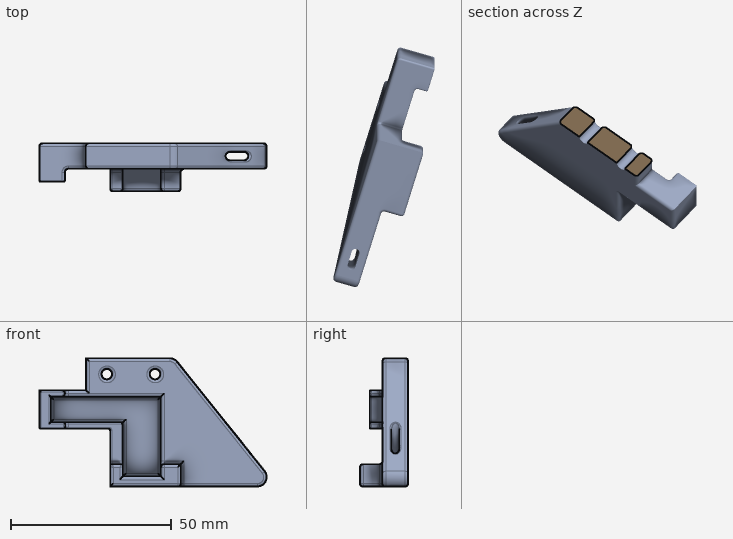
import cadquery as cq


plate_thickness = 8.0
plate_height = 40.0
plate_left_x = 14.5
slope_top_x = 42.0
slope_bottom_x = 74.0
slope_corner_radius = 3.0
arm_height = 12.0
arm_top_z = 30.0
arm_bottom_z = arm_top_z - arm_height
leg_left_x = 22.0

arm_foot_width = 8.0
arm_foot_depth = 12.0
leg_foot_width = 22.0
leg_foot_depth = 15.0
leg_foot_height = 7.0
leg_foot_right_x = leg_left_x + leg_foot_width

pocket_floor_depth = 3.0
pocket_left_x = 3.5
arm_wall = 2.0
leg_wall = 4.0
pocket_right_x = 37.85
pocket_bottom_z = 3.2
pocket_top_z = arm_top_z - arm_wall
pocket_ledge_z = arm_bottom_z + arm_wall
pocket_leg_left_x = leg_left_x + leg_wall

large_round = 1.0
small_round = 0.5
pocket_rim_round = large_round - 0.01

hole_diameter = 3.2
hole_rim_round = 1.0
hole_z = 35.0
first_hole_x = 21.0
hole_spacing = 15.0

slot_left_x = 58.0
slot_length = 7.0
slot_width = 2.5
slot_rim_round = 0.5

pick_margin = 0.05


def front_prism(outline, depth):
    """Extrude an (x, z) outline forward from the back plane."""
    return cq.Workplane("XZ").polyline(outline).close().extrude(depth)


def front_block(left, right, bottom, top, depth):
    """Rectangular block from the back plane forward to the given depth."""
    return front_prism([(left, bottom), (right, bottom), (right, top), (left, top)], depth)


def edges_within(x_range, depth_range, z_range):
    """Selector for edges wholly inside a box given as (low, high) pairs."""
    near_depth, far_depth = depth_range
    low = (x_range[0] - pick_margin, -far_depth - pick_margin, z_range[0] - pick_margin)
    high = (x_range[1] + pick_margin, -near_depth + pick_margin, z_range[1] + pick_margin)
    return cq.selectors.BoxSelector(low, high, boundingbox=True)


def at(value):
    """Range that holds a single value."""
    return (value, value)


whole_depth = (0, leg_foot_depth)
plate_front = at(plate_thickness)
arm_foot_front = at(arm_foot_depth)
leg_foot_front = at(leg_foot_depth)
arm_foot_side = at(arm_foot_width)
arm_foot_sides_depth = (plate_thickness, arm_foot_depth)
leg_foot_sides_depth = (plate_thickness, leg_foot_depth)
behind_arm_foot_front = (plate_thickness, arm_foot_depth - 2 * pick_margin)
above_leg_foot_front = leg_foot_height - small_round


def make_blank():
    """Plate, arm and leg in one outline, with both feet added."""
    outline = [
        (0, arm_bottom_z),
        (leg_left_x, arm_bottom_z),
        (leg_left_x, 0),
        (slope_bottom_x, 0),
        (slope_top_x, plate_height),
        (plate_left_x, plate_height),
        (plate_left_x, arm_top_z),
        (0, arm_top_z),
    ]
    arm_foot = front_block(0, arm_foot_width, arm_bottom_z, arm_top_z, arm_foot_depth)
    leg_foot = front_block(leg_left_x, leg_foot_right_x, 0, leg_foot_height, leg_foot_depth)
    return front_prism(outline, plate_thickness).union(arm_foot).union(leg_foot).clean()


def round_outline_corners(body):
    """Round the outline corners at the slope and under the arm."""
    slope_top = edges_within(at(slope_top_x), whole_depth, at(plate_height))
    slope_bottom = edges_within(at(slope_bottom_x), whole_depth, at(0))
    arm_tip = edges_within(at(0), whole_depth, at(arm_bottom_z))
    arm_to_leg = edges_within(at(leg_left_x), whole_depth, at(arm_bottom_z))
    body = body.edges(slope_top + slope_bottom).fillet(slope_corner_radius)
    return body.edges(arm_tip + arm_to_leg).fillet(small_round)


def round_back_rim(body):
    """Round the whole outer edge of the back face."""
    return body.faces(">Y").edges().fillet(large_round)


def fill_foot_roots(body):
    """Concave rounds where the feet rise from the plate."""
    arm_foot_root = edges_within(arm_foot_side, plate_front, (arm_bottom_z, arm_top_z))
    leg_foot_top_root = edges_within((leg_left_x, leg_foot_right_x), plate_front, at(leg_foot_height))
    leg_foot_side_root = edges_within(at(leg_foot_right_x), plate_front, (0, leg_foot_height))
    return body.edges(arm_foot_root + leg_foot_top_root + leg_foot_side_root).fillet(large_round)


def round_plate_rim(body):
    """Front rim of the plate, running on along the arm's top and up its foot."""
    rim = (
        edges_within(at(plate_left_x), plate_front, (arm_top_z, plate_height))
        + edges_within((plate_left_x, slope_bottom_x), plate_front, at(plate_height))
        + edges_within((slope_top_x - slope_corner_radius, slope_bottom_x), plate_front, (0, plate_height))
        - edges_within((0, leg_foot_right_x), plate_front, (0, leg_foot_height + large_round))
        + edges_within((arm_foot_width, plate_left_x), behind_arm_foot_front, at(arm_top_z))
        + edges_within(arm_foot_side, arm_foot_sides_depth, at(arm_top_z))
    )
    return body.edges(rim).fillet(large_round)


def round_lower_rim(body):
    """Front rim under the arm and down the leg's left side onto its foot."""
    rim = (
        edges_within((0, leg_left_x), behind_arm_foot_front, at(arm_bottom_z))
        + edges_within(arm_foot_side, arm_foot_sides_depth, at(arm_bottom_z))
        + edges_within(at(leg_left_x), leg_foot_sides_depth, (above_leg_foot_front, arm_bottom_z))
    )
    return body.edges(rim).fillet(small_round)


def cut_pocket(body):
    """Cut the L-shaped pocket, with a round between its floor and walls."""
    outline = [
        (pocket_left_x, pocket_ledge_z),
        (pocket_leg_left_x, pocket_ledge_z),
        (pocket_leg_left_x, pocket_bottom_z),
        (pocket_right_x, pocket_bottom_z),
        (pocket_right_x, pocket_top_z),
        (pocket_left_x, pocket_top_z),
    ]
    pocket = front_prism(outline, leg_foot_depth - pocket_floor_depth)
    pocket = pocket.faces(">Y").edges().fillet(large_round)
    return body.cut(pocket.translate((0, -pocket_floor_depth, 0)))


def round_pocket_rim(body):
    """Large rounds on the pocket's top and right rim, small ones on its ledge side."""
    upper_rim = (
        edges_within(at(pocket_right_x), leg_foot_sides_depth, (above_leg_foot_front, pocket_top_z))
        + edges_within((pocket_left_x, pocket_right_x), behind_arm_foot_front, at(pocket_top_z))
        + edges_within(arm_foot_side, arm_foot_sides_depth, at(pocket_top_z))
    )
    ledge_rim = (
        edges_within((pocket_left_x, pocket_leg_left_x), behind_arm_foot_front, at(pocket_ledge_z))
        + edges_within(arm_foot_side, arm_foot_sides_depth, at(pocket_ledge_z))
        + edges_within(at(pocket_leg_left_x), leg_foot_sides_depth, (above_leg_foot_front, pocket_ledge_z))
    )
    return body.edges(upper_rim).fillet(pocket_rim_round).edges(ledge_rim).fillet(small_round)


def round_foot_fronts(body):
    """Round the whole edge of each foot's front face."""
    leg_front = edges_within((leg_left_x, leg_foot_right_x), leg_foot_front, (0, leg_foot_height))
    arm_front = edges_within((0, arm_foot_width), arm_foot_front, (arm_bottom_z, arm_top_z))
    return body.edges(leg_front).fillet(large_round).edges(arm_front).fillet(small_round)


def cut_screw_holes(body):
    """Through holes in the plate, rounded over at the front."""
    radius = hole_diameter / 2
    for x in (first_hole_x, first_hole_x + hole_spacing):
        hole = cq.Workplane("XZ").center(x, hole_z).circle(radius).extrude(plate_thickness)
        rim = edges_within((x - radius, x + radius), plate_front, (hole_z - radius, hole_z + radius))
        body = body.cut(hole).edges(rim).fillet(hole_rim_round)
    return body


def cut_slot(body):
    """Vertical slot from the slope to the underside, rounded over on the slope."""
    slot = (
        cq.Workplane("XY")
        .center(slot_left_x + slot_length / 2, -plate_thickness / 2)
        .slot2D(slot_length, slot_width)
        .extrude(plate_height)
    )
    depth_range = ((plate_thickness - slot_width) / 2, (plate_thickness + slot_width) / 2)
    rim = edges_within((slot_left_x, slot_left_x + slot_length), depth_range, (large_round, plate_height))
    return body.cut(slot).edges(rim).fillet(slot_rim_round)


body = make_blank()
body = round_outline_corners(body)
body = round_back_rim(body)
body = fill_foot_roots(body)
body = round_plate_rim(body)
body = round_lower_rim(body)
body = cut_pocket(body)
body = round_pocket_rim(body)
body = round_foot_fronts(body)
body = cut_screw_holes(body)
result = cut_slot(body)